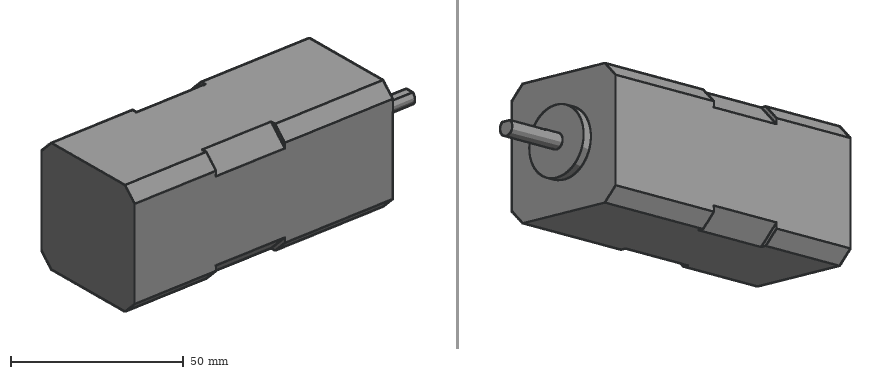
import cadquery as cq

total_length = 122
body_width = 42.0
body_length = 98.0
corner_chamfer = 4.4

waist_start = 30.9
waist_length = 26.1
waist_chamfer = 6.2

pilot_diameter = 22
pilot_length = 3.0
shaft_diameter = 5.0
flat_length = 15.0
flat_depth = 0.5

back_y = -total_length / 2
body_front_y = back_y + body_length
tip_y = total_length / 2


def chamfered_block(start_y, length, chamfer):
    """Square bar along Y with its four long edges chamfered."""
    bar = cq.Workplane("XY").box(body_width, length, body_width)
    return bar.edges("|Y").chamfer(chamfer).translate((0, start_y + length / 2, 0))


def cylinder_along_y(start_y, length, diameter):
    """Round bar along Y, starting at start_y."""
    plane = cq.Workplane("XZ", origin=(0, start_y, 0))
    return plane.circle(diameter / 2).extrude(-length)


def make_body():
    """Motor housing in three lengths, the middle one with deeper corner cuts."""
    waist_y = back_y + waist_start
    waist_end_y = waist_y + waist_length
    rear = chamfered_block(back_y, waist_start, corner_chamfer)
    waist = chamfered_block(waist_y, waist_length, waist_chamfer)
    front = chamfered_block(waist_end_y, body_front_y - waist_end_y, corner_chamfer)
    return rear.union(waist).union(front)


def make_shaft():
    """Round shaft with a flat on its top side at the tip."""
    shaft = cylinder_along_y(body_front_y, tip_y - body_front_y, shaft_diameter)
    flat_cut = (
        cq.Workplane("XY")
        .box(shaft_diameter, flat_length, flat_depth)
        .translate((0, tip_y - flat_length / 2, (shaft_diameter - flat_depth) / 2))
    )
    return shaft.cut(flat_cut)


pilot = cylinder_along_y(body_front_y, pilot_length, pilot_diameter)
result = make_body().union(pilot).union(make_shaft())